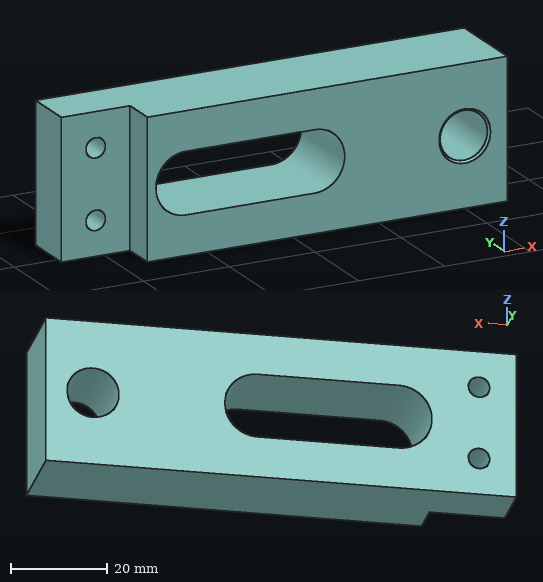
import cadquery as cq

length = 100.0
depth = 20.0
height = 32.0

tab_length = 16.0
tab_step = 8.0

pin_diameter = 4.5
pin_spacing = 16.0

slot_length = 44.0
slot_width = 14.0
slot_center_x = 40.0

bore_diameter = 11.0
bore_mouth_diameter = 12.0
bore_center_x = length - 10.0
bore_chamfer = (bore_mouth_diameter - bore_diameter) / 2

mid_z = height / 2


def front_plane(x):
    """Front-face sketch plane at mid height; its normal points out to -Y."""
    return cq.Workplane("XZ", origin=(x, 0, mid_z))


body = cq.Workplane("XY").box(length, depth, height, centered=False)
step = cq.Workplane("XY").box(tab_length, tab_step, height, centered=False)

pins = (
    front_plane(tab_length / 2)
    .pushPoints([(0, -pin_spacing / 2), (0, pin_spacing / 2)])
    .circle(pin_diameter / 2)
    .extrude(-depth)
)
slot = front_plane(slot_center_x).slot2D(slot_length, slot_width).extrude(-depth)
bore = front_plane(bore_center_x).circle(bore_diameter / 2).extrude(-depth)

bore_mouth = (
    front_plane(bore_center_x)
    .circle(bore_mouth_diameter / 2)
    .extrude(-bore_chamfer, taper=45)
)

result = body.cut(step).cut(pins).cut(slot).cut(bore).cut(bore_mouth)